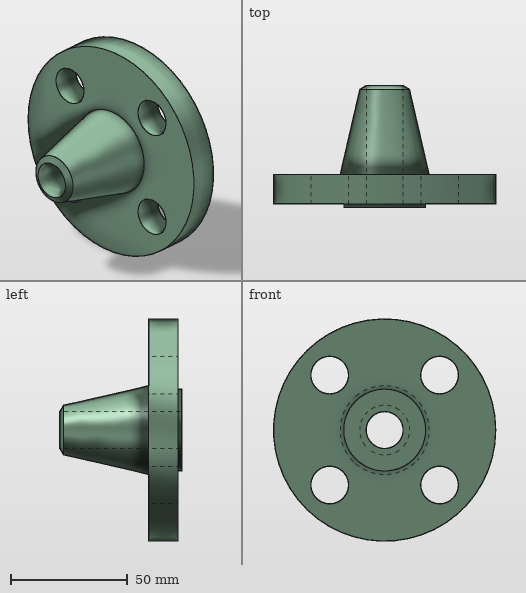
import cadquery as cq
import math

flange_diameter = 95.25
overall_length = 52.4
flange_thickness = 12.7
face_diameter = 35.05
face_height = 1.6
bore_diameter = 15.7

hub_base_diameter = 38.1
hub_end_diameter = 21.3
bevel_length = 1.7

bolt_hole_count = 4
bolt_hole_diameter = 16.0
bolt_circle_diameter = 66.6

flange_front = face_height
flange_back = flange_front + flange_thickness
bevel_start = overall_length - bevel_length


def make_body():
    """Revolve the half section (radius, Y) about the Y axis."""
    return (
        cq.Workplane("XY")
        .moveTo(bore_diameter / 2, 0)
        .lineTo(face_diameter / 2, 0)
        .lineTo(face_diameter / 2, flange_front)
        .lineTo(flange_diameter / 2, flange_front)
        .lineTo(flange_diameter / 2, flange_back)
        .lineTo(hub_base_diameter / 2, flange_back)
        .lineTo(hub_end_diameter / 2, bevel_start)
        .lineTo(bore_diameter / 2, overall_length)
        .close()
        .revolve(360, (0, 0, 0), (0, 1, 0))
    )


def make_bolt_hole(angle):
    """Cutter through the flange, parallel to Y, at an angle about the axis."""
    x = bolt_circle_diameter / 2 * math.cos(angle)
    z = bolt_circle_diameter / 2 * math.sin(angle)
    return (
        cq.Workplane("XZ")
        .center(x, z)
        .circle(bolt_hole_diameter / 2)
        .extrude(-flange_back)
    )


result = make_body()
hole_pitch = 2 * math.pi / bolt_hole_count
for index in range(bolt_hole_count):
    result = result.cut(make_bolt_hole((index + 0.5) * hole_pitch))